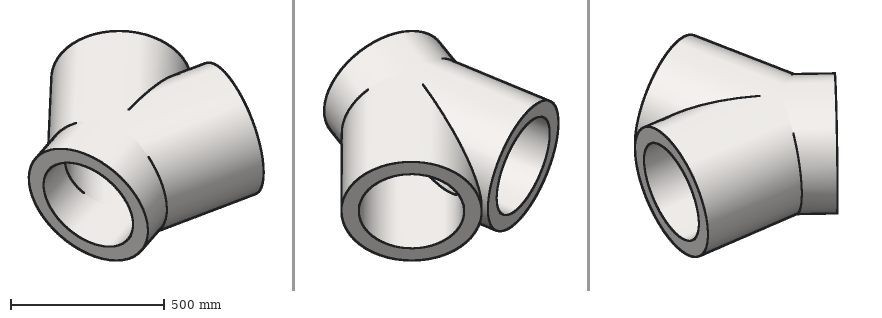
import cadquery as cq
import math

overall_width = 815.0
overall_depth = 655.0
outer_diameter = 457.0
bore_diameter = 343.0
branch_angle = 30.0

outer_radius = outer_diameter / 2
lean_sin = math.sin(math.radians(branch_angle))
lean_cos = math.cos(math.radians(branch_angle))
branch_length = (overall_width / 2 - outer_radius * lean_cos) / lean_sin
branch_reach = branch_length * lean_cos + outer_radius * lean_sin
inlet_length = overall_depth - branch_reach

legs = [
    (inlet_length, cq.Vector(0, -1, 0)),
    (branch_length, cq.Vector(-lean_sin, lean_cos, 0)),
    (branch_length, cq.Vector(lean_sin, lean_cos, 0)),
]


def joined_legs(diameter):
    """Join one solid cylinder per leg; equal diameters give mitred seams."""
    first, *others = [
        cq.Solid.makeCylinder(diameter / 2, length, cq.Vector(0, 0, 0), direction)
        for length, direction in legs
    ]
    return cq.Workplane(first.fuse(*others))


result = joined_legs(outer_diameter).cut(joined_legs(bore_diameter))